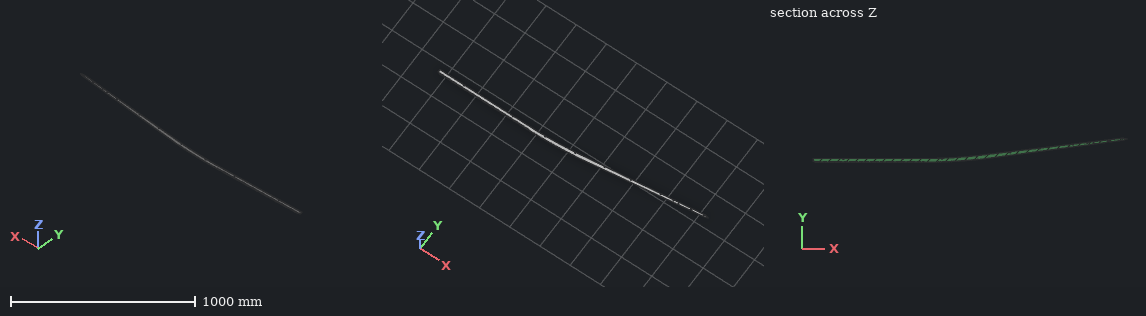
import cadquery as cq

LENGTH = 1703.0
RISE = 133.0
THICKNESS = 3.0
WIDTH = 22.0
HEEL_STEP = 6.0

FINE_TEETH = 100
FINE_LENGTH = 600.0
FINE_DEPTH = 4.6
COARSE_TEETH = 30
COARSE_LENGTH = 300.0
COARSE_DEPTH = 2.4

BEND_START = FINE_LENGTH
BEND_END = BEND_START + COARSE_LENGTH
LOWER_BEND_RISE = 15.7
UPPER_BEND_RISE = 17.0

TIP_UNDERSIDE = (1683.0, 121.0)
TIP_NOSE = (LENGTH, 128.0)
TIP_TOP = (1677.0, RISE)

NOTCH_DEPTH = 5.0
TOP_NOTCH_WIDTH = 4.6
TOP_NOTCH_PLACES = [163.0, 485.0, 698.0, 887.0, 1068.0, 1228.0, 1408.0, 1487.0, 1674.0]
UNDERSIDE_NOTCHES = [(1522.0, 7.2), (1599.0, 10.5)]


def edge_height(x, level, bend_rise, arm_end):
    """Height of a long edge at x: level, then a parabolic bend, then straight to arm_end."""
    if x <= BEND_START:
        return level
    if x <= BEND_END:
        along_bend = (x - BEND_START) / (BEND_END - BEND_START)
        return level + bend_rise * along_bend**2
    end_x, end_y = arm_end
    bend_top = level + bend_rise
    return bend_top + (end_y - bend_top) * (x - BEND_END) / (end_x - BEND_END)


def lower_edge(x):
    return edge_height(x, 0.0, LOWER_BEND_RISE, TIP_UNDERSIDE)


def upper_edge(x):
    return edge_height(x, WIDTH, UPPER_BEND_RISE, TIP_TOP)


def tooth_points(start, length, count, depth):
    """Sawtooth corners from left to right: each tooth slopes to its tip, then steps up."""
    pitch = length / count
    points = []
    for tooth in range(1, count + 1):
        x = start + tooth * pitch
        tip = lower_edge(x)
        points.append((x, tip))
        points.append((x, tip + depth))
    return points


def make_blade():
    fine_teeth = tooth_points(0.0, FINE_LENGTH, FINE_TEETH, FINE_DEPTH)
    coarse_teeth = tooth_points(BEND_START, COARSE_LENGTH, COARSE_TEETH, COARSE_DEPTH)
    coarse_teeth.pop()
    bend_middle = (BEND_START + BEND_END) / 2
    return (
        cq.Workplane("XY")
        .moveTo(0, WIDTH)
        .lineTo(0, HEEL_STEP)
        .lineTo(FINE_LENGTH / FINE_TEETH, HEEL_STEP)
        .polyline(fine_teeth + coarse_teeth, includeCurrent=True)
        .lineTo(*TIP_UNDERSIDE)
        .lineTo(*TIP_NOSE)
        .lineTo(*TIP_TOP)
        .lineTo(BEND_END, upper_edge(BEND_END))
        .threePointArc((bend_middle, upper_edge(bend_middle)), (BEND_START, WIDTH))
        .close()
        .extrude(THICKNESS)
    )


def make_notch(x, edge_y, width):
    """Cutter centred on an edge, so that half of its height enters the blade."""
    return cq.Workplane("XY").center(x, edge_y).rect(width, 2 * NOTCH_DEPTH).extrude(THICKNESS)


result = make_blade()

for place in TOP_NOTCH_PLACES:
    result = result.cut(make_notch(place, upper_edge(place), TOP_NOTCH_WIDTH))

for place, width in UNDERSIDE_NOTCHES:
    result = result.cut(make_notch(place, lower_edge(place), width))